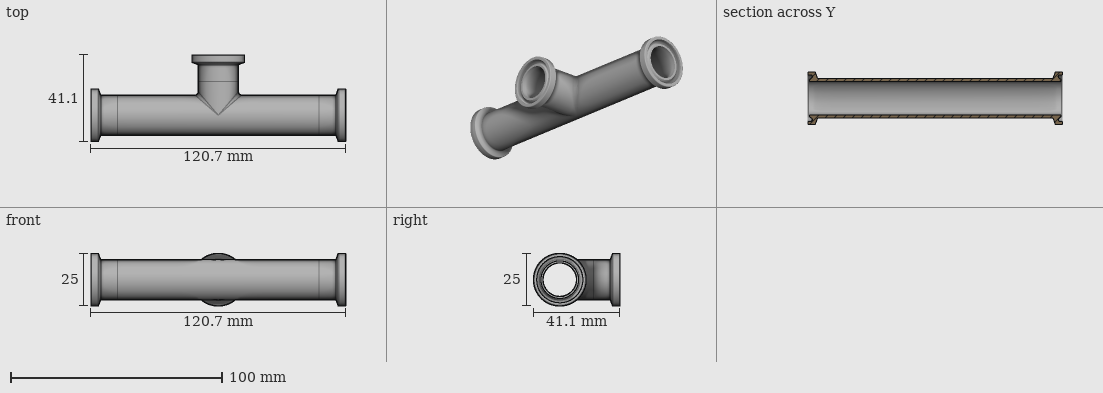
import cadquery as cq
import math

RUN_LENGTH = 120.65
BRANCH_REACH = 28.575
FERRULE_LENGTH = 12.7

TUBE_RADIUS = 19.05 / 2
BORE_RADIUS = 15.75 / 2

FLANGE_RADIUS = 24.99 / 2
RIM_WIDTH = 3.6
TAPER_ANGLE = 20.0
FACE_FILLET = 0.4
RIM_FILLET = 0.4
NECK_FILLET = 0.4

SEAT_RADIUS = 21.89 / 2
SEAT_WALL_DEPTH = 1.3
GROOVE_ROUND = 0.75
LAND_RADIUS = 17.8 / 2
LAND_DEPTH = 0.8

CROTCH_FILLET = 1.5

X_AXIS = ((0, 0, 0), (1, 0, 0))


def tee_body():
    """Solid run and branch up to the weld seams, blended where they meet."""
    run_half = RUN_LENGTH / 2 - FERRULE_LENGTH
    branch_length = BRANCH_REACH - FERRULE_LENGTH
    run = cq.Workplane("YZ").circle(TUBE_RADIUS).extrude(run_half, both=True)
    branch = cq.Workplane("XZ").circle(TUBE_RADIUS).extrude(-branch_length)
    body = run.union(branch)
    joint_edges = [edge for edge in body.edges().vals() if edge.geomType() == "ELLIPSE"]
    return body.newObject(joint_edges).fillet(CROTCH_FILLET)


def ring_edge(depth):
    """Selector for the circular edge centred on the X axis at the given depth."""
    margin = 0.05
    return cq.selectors.BoxSelector((depth - margin, -margin, -margin), (depth + margin, margin, margin))


def ferrule_outside():
    """Solid ferrule with its flange face at the origin and its tube running along +X."""
    taper_length = (FLANGE_RADIUS - TUBE_RADIUS) * math.tan(math.radians(TAPER_ANGLE))
    neck_depth = RIM_WIDTH + taper_length
    profile = (
        cq.Workplane("XY")
        .lineTo(0, FLANGE_RADIUS)
        .lineTo(RIM_WIDTH, FLANGE_RADIUS)
        .lineTo(neck_depth, TUBE_RADIUS)
        .lineTo(FERRULE_LENGTH, TUBE_RADIUS)
        .lineTo(FERRULE_LENGTH, 0)
        .close()
    )
    solid = profile.revolve(360, *X_AXIS)
    for depth, radius in ((0, FACE_FILLET), (RIM_WIDTH, RIM_FILLET), (neck_depth, NECK_FILLET)):
        solid = solid.edges(ring_edge(depth)).fillet(radius)
    return solid


def gasket_seat():
    """Recess and groove to remove from a flange face at the origin."""
    centre_radius = SEAT_RADIUS - GROOVE_ROUND
    axial_gap = SEAT_WALL_DEPTH - LAND_DEPTH
    radial_gap = centre_radius - LAND_RADIUS
    land_to_centre = math.hypot(axial_gap, radial_gap)
    inner_wall_slope = math.atan2(axial_gap, radial_gap) + math.asin(GROOVE_ROUND / land_to_centre)

    def on_round(angle):
        """Point on the groove bottom, at an angle from its deepest point towards the rim."""
        depth = SEAT_WALL_DEPTH + GROOVE_ROUND * math.cos(angle)
        return (depth, centre_radius + GROOVE_ROUND * math.sin(angle))

    profile = (
        cq.Workplane("XY")
        .lineTo(LAND_DEPTH, 0)
        .lineTo(LAND_DEPTH, LAND_RADIUS)
        .lineTo(*on_round(-inner_wall_slope))
        .threePointArc(on_round(0), (SEAT_WALL_DEPTH, SEAT_RADIUS))
        .lineTo(0, SEAT_RADIUS)
        .close()
    )
    return profile.revolve(360, *X_AXIS)


def at_each_port(shape):
    """Copies of a shape modelled at the origin, moved to the three flange faces."""
    z_start, z_end = (0, 0, 0), (0, 0, 1)
    half_run = RUN_LENGTH / 2
    return [
        shape.translate((-half_run, 0, 0)),
        shape.rotate(z_start, z_end, 180).translate((half_run, 0, 0)),
        shape.rotate(z_start, z_end, -90).translate((0, BRANCH_REACH, 0)),
    ]


def bores():
    """Through bore of the run joined with the bore of the branch."""
    run_bore = cq.Workplane("YZ").circle(BORE_RADIUS).extrude(RUN_LENGTH / 2, both=True)
    branch_bore = cq.Workplane("XZ").circle(BORE_RADIUS).extrude(-BRANCH_REACH)
    return run_bore.union(branch_bore)


result = tee_body()
for ferrule in at_each_port(ferrule_outside()):
    result = result.union(ferrule, clean=False)
result = result.cut(bores(), clean=False)
for seat in at_each_port(gasket_seat()):
    result = result.cut(seat, clean=False)